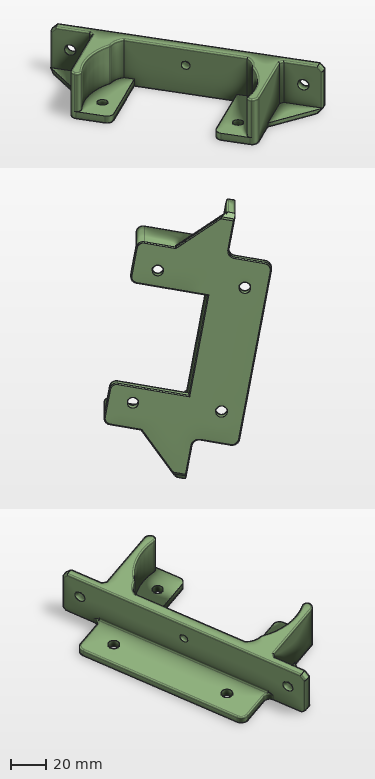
import cadquery as cq
import math

LENGTH = 161.0
HEIGHT = 30.0
BODY_WIDTH = 111.0
ARM_REACH = 52.0
PLATE_REACH = 26.0
WING_THICKNESS = 5.0
WALL_THICKNESS = 7.1
BASE_THICKNESS = 5.0
GUSSET_THICKNESS = 3.0

EDGE_RADIUS = 1.0
BOTTOM_CHAMFER = 0.6
WING_CORNER = 3.0
INNER_CORNER = 2.0
PLATE_CORNER_RADIUS = 4.5
PLATE_ROOT_RADIUS = 4.0
PAD_CORNER_RADIUS = 4.0
PAD_INNER_X = 30.3

RECESS_CENTER = (14.2, -39.0)
RECESS_RADIUS = 36.2
TIP_RADIUS = 2.7
ROOT_CENTER = (30.6, -16.7)
ROOT_RADIUS = 11.3
RIDGE_RADIUS = 2.4

PLATE_HOLE_DIAMETER = 6.6
PLATE_HOLE_SPACING = 75.0
PLATE_HOLE_SHIFT = 1.1
PLATE_HOLE_Y = 12.9
PAD_HOLE_DIAMETER = 6.3
PAD_HOLE_SPACING = 80.2
PAD_HOLE_Y = -37.5
WING_HOLE_DIAMETER = 6.6
WING_HOLE_SPACING = 137.8
WING_HOLE_Z = 16.5
WALL_HOLE_DIAMETER = 5.2
WALL_HOLE_Z = 19.0

HALF_LENGTH = LENGTH / 2
HALF_BODY = BODY_WIDTH / 2
EMBED = 1.6
TOLERANCE = 0.02


def both_sides(solid):
    """The solid together with its mirror image across X = 0."""
    return solid.union(solid.mirror("YZ"))


def toward(start, target, distance):
    """Point at a distance from start, in the direction of target."""
    span = math.dist(start, target)
    return tuple(p + distance * (q - p) / span for p, q in zip(start, target))


def circle_crossing(center_a, radius_a, center_b, radius_b):
    """Crossing of two circles on the right-hand side when going from a to b."""
    span = math.dist(center_a, center_b)
    along = (radius_a**2 - radius_b**2 + span**2) / (2 * span)
    aside = math.sqrt(radius_a**2 - along**2)
    foot_x, foot_y = toward(center_a, center_b, along)
    unit_x = (center_b[0] - center_a[0]) / span
    unit_y = (center_b[1] - center_a[1]) / span
    return foot_x + aside * unit_y, foot_y - aside * unit_x


def wing_plate():
    """Back layer of the wall, running out into both wings."""
    plate = (
        cq.Workplane("XY")
        .box(LENGTH, WING_THICKNESS, HEIGHT, centered=(True, False, False))
        .translate((0, -WING_THICKNESS, 0))
        .edges("|Y and >Z")
        .chamfer(WING_CORNER)
    )
    return plate.edges("(<Y or >Y) and (not <Z)").fillet(EDGE_RADIUS)


def wall_front():
    """Front layer of the wall between the arms."""
    return (
        cq.Workplane("XY")
        .box(BODY_WIDTH - 2 * INNER_CORNER, WALL_THICKNESS - EMBED, HEIGHT, centered=(True, False, False))
        .translate((0, -WALL_THICKNESS, 0))
        .edges("<Y and >Z")
        .fillet(EDGE_RADIUS)
    )


def arms():
    """Both arms: straight outside, hollowed inside, round at the tip."""
    outer_center = (HALF_BODY - PAD_CORNER_RADIUS, PAD_CORNER_RADIUS - ARM_REACH)
    tip_center = circle_crossing(
        RECESS_CENTER, RECESS_RADIUS + TIP_RADIUS,
        outer_center, PAD_CORNER_RADIUS - TIP_RADIUS,
    )
    tip_start = toward(outer_center, tip_center, PAD_CORNER_RADIUS)
    tip_end = toward(RECESS_CENTER, tip_center, RECESS_RADIUS)
    ridge = circle_crossing(RECESS_CENTER, RECESS_RADIUS, ROOT_CENTER, ROOT_RADIUS)
    root_top = (ROOT_CENTER[0], ROOT_CENTER[1] + ROOT_RADIUS)
    web_reach = INNER_CORNER + WING_THICKNESS - EMBED
    arm = (
        cq.Workplane("XY")
        .moveTo(HALF_BODY + web_reach, -EMBED)
        .lineTo(HALF_BODY, -WING_THICKNESS - INNER_CORNER)
        .lineTo(HALF_BODY, PAD_CORNER_RADIUS - ARM_REACH)
        .radiusArc(tip_start, PAD_CORNER_RADIUS)
        .radiusArc(tip_end, TIP_RADIUS)
        .radiusArc(ridge, -RECESS_RADIUS)
        .radiusArc(root_top, -ROOT_RADIUS)
        .lineTo(root_top[0], -EMBED)
        .close()
        .extrude(HEIGHT)
    )
    ridge_edge = cq.selectors.NearestToPointSelector((*ridge, HEIGHT / 2))
    arm = arm.edges("|Z").edges(ridge_edge).fillet(RIDGE_RADIUS)
    rim = [
        edge for edge in arm.faces(">Z").edges().vals()
        if edge.Center().y < -WING_THICKNESS / 2 and edge.Center().x > root_top[0] + TOLERANCE
    ]
    return both_sides(arm.newObject(rim).fillet(EDGE_RADIUS))


def pads():
    """Flat pads below the arms, reaching back into the wall."""
    width = HALF_BODY - PAD_INNER_X
    pad = (
        cq.Workplane("XY")
        .center(PAD_INNER_X + width / 2, -ARM_REACH / 2)
        .rect(width, ARM_REACH)
        .extrude(BASE_THICKNESS)
        .edges("|Z and <Y")
        .fillet(PAD_CORNER_RADIUS)
    )
    return both_sides(pad)


def gussets():
    """Thin 45 degree triangles between the wings and the arms."""
    leg = HALF_LENGTH - HALF_BODY
    gusset = (
        cq.Workplane("XY")
        .moveTo(HALF_LENGTH, -WING_THICKNESS)
        .lineTo(HALF_BODY, -WING_THICKNESS - leg)
        .lineTo(HALF_BODY, -WING_THICKNESS)
        .close()
        .extrude(GUSSET_THICKNESS)
    )
    return both_sides(gusset)


def rear_plate():
    """Rear mounting plate, flared into the wall and rounded along its rim."""
    flare = PLATE_ROOT_RADIUS
    depth = WING_THICKNESS / 2
    half = (
        cq.Workplane("XY")
        .moveTo(0, -depth)
        .lineTo(HALF_BODY + flare, -depth)
        .lineTo(HALF_BODY + flare, 0)
        .radiusArc((HALF_BODY, flare), flare)
        .lineTo(HALF_BODY, PLATE_REACH - PLATE_CORNER_RADIUS)
        .radiusArc((HALF_BODY - PLATE_CORNER_RADIUS, PLATE_REACH), -PLATE_CORNER_RADIUS)
        .lineTo(0, PLATE_REACH)
        .close()
        .extrude(BASE_THICKNESS)
    )
    plate = both_sides(half).clean()
    rim = [
        edge for edge in plate.faces(">Z").edges().vals()
        if edge.Center().y > TOLERANCE
    ]
    return plate.newObject(rim).fillet(EDGE_RADIUS)


def plate_web():
    """Small hollow fillet where the plate's top meets the wall."""
    return (
        cq.Workplane("YZ")
        .moveTo(0, BASE_THICKNESS)
        .lineTo(EDGE_RADIUS, BASE_THICKNESS)
        .radiusArc((0, BASE_THICKNESS + EDGE_RADIUS), EDGE_RADIUS)
        .close()
        .extrude(HALF_BODY + EDGE_RADIUS / 2, both=True)
    )


def lower_corner_cuts():
    """45 degree cuts below the wing ends, running through the gussets."""
    cut = (
        cq.Workplane("XZ")
        .moveTo(HALF_LENGTH, 0)
        .lineTo(HALF_LENGTH, WING_CORNER)
        .lineTo(HALF_LENGTH - WING_CORNER, 0)
        .close()
        .extrude(ARM_REACH)
    )
    return both_sides(cut)


def upright_holes(diameter, places):
    """Holes along Y through the wall or wings, at (x, z) places."""
    return (
        cq.Workplane("XZ")
        .pushPoints(places)
        .circle(diameter / 2)
        .extrude(WALL_THICKNESS)
    )


def base_holes(diameter, spacing, y, shift=0):
    """A pair of holes along Z through the rear plate or the pads."""
    places = [(shift + side * spacing / 2, y) for side in (-1, 1)]
    return (
        cq.Workplane("XY")
        .pushPoints(places)
        .circle(diameter / 2)
        .extrude(BASE_THICKNESS)
    )


bracket = wing_plate()
for piece in (wall_front(), arms(), pads(), gussets(), rear_plate(), plate_web()):
    bracket = bracket.union(piece)
bracket = bracket.cut(lower_corner_cuts()).clean()
bracket = bracket.faces("<Z").edges().chamfer(BOTTOM_CHAMFER)

wing_places = [(side * WING_HOLE_SPACING / 2, WING_HOLE_Z) for side in (-1, 1)]
bracket = bracket.cut(upright_holes(WING_HOLE_DIAMETER, wing_places))
bracket = bracket.cut(upright_holes(WALL_HOLE_DIAMETER, [(0, WALL_HOLE_Z)]))
bracket = bracket.cut(base_holes(PAD_HOLE_DIAMETER, PAD_HOLE_SPACING, PAD_HOLE_Y))
result = bracket.cut(
    base_holes(PLATE_HOLE_DIAMETER, PLATE_HOLE_SPACING, PLATE_HOLE_Y, PLATE_HOLE_SHIFT)
)